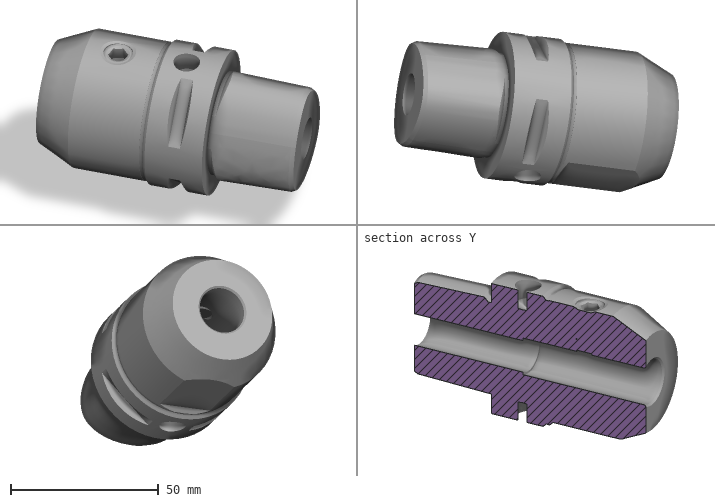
import math

import cadquery as cq

total_length = 90.0
flange_back = 60.0
flange_diameter = 50.0

nose_diameter = 36.0
nose_length = 12.8
body_diameter = 48.0
groove_diameter = 47.6
groove_start = 37.7
groove_end = 38.8
flange_start = 40.0

flat_height = -22.2
flat_end = 36.2

shank_bore_diameter = 16.0
shank_bore_depth = 47.7
mouth_diameter = 17.3
through_bore_diameter = 14.4

shank_diameter = 37.3
lobe_height = 1.1
lobe_count = 3
lobe_step = 10
taper_start = 63.0
taper_ratio = 1 / 20
tip_chamfer_length = 1.4
tip_chamfer_height = 0.8
neck_diameter = 35.7
neck_end = 61.3

screw_x = 23.9
screw_diameter = 10.0
screw_top = 22.9
screw_tip = 7.3
screw_mouth_width = 1.1
screw_mouth_depth = 0.45
socket_rim_diameter = 8.0
socket_rim_depth = 0.45
hex_across_flats = 6.0
hex_depth = 4.5
hex_sides = 6
hex_turn = 45.0
drill_tip_angle = 118.0

flange_hole_x = 48.0
flange_hole_diameter = 9.0
flange_hole_depth = 7.2

slot_x = 50.0
slot_floor_radius = 22.05
slot_floor_width = 4.1
slot_top_width = 6.7
slot_count = 4

flange_radius = flange_diameter / 2


def revolve_profile(points):
    """Turn a profile of (x, radius) points around the X axis."""
    return cq.Workplane("XY").polyline(points).close().revolve(360, (0, 0, 0), (1, 0, 0))


def drill_tip_depth(diameter):
    """Height of the cone left by a drill of the given diameter."""
    return diameter / 2 / math.tan(math.radians(drill_tip_angle / 2))


def cone_down(x, z_top, top_diameter, height, bottom_diameter=0.0):
    """Cone on a vertical axis, narrowing downward from z_top."""
    return cq.Workplane(
        cq.Solid.makeCone(
            top_diameter / 2, bottom_diameter / 2, height, cq.Vector(x, 0, z_top), cq.Vector(0, 0, -1)
        )
    )


def cylinder_down(x, z_top, diameter, height):
    """Cylinder on a vertical axis, reaching down from z_top."""
    return cq.Workplane("XY", origin=(x, 0, z_top)).circle(diameter / 2).extrude(-height)


def make_body():
    return revolve_profile([
        (0, 0),
        (0, nose_diameter / 2),
        (nose_length, body_diameter / 2),
        (groove_start, body_diameter / 2),
        (groove_start, groove_diameter / 2),
        (groove_end, groove_diameter / 2),
        (flange_start, flange_radius),
        (flange_back, flange_radius),
        (flange_back, 0),
    ])


def make_flat_cutter():
    depth = flange_radius + flat_height
    return (
        cq.Workplane("XZ")
        .polyline([
            (0, flat_height),
            (flat_end, flat_height),
            (flat_end + depth, flat_height - depth),
            (0, flat_height - depth),
        ])
        .close()
        .extrude(flange_radius, both=True)
    )


def lobed_wire(work, mean_radius):
    """Constant-width three-lobed outline with one lobe pointing up (+Z)."""

    def point(degrees):
        angle = math.radians(degrees)
        phase = lobe_count * (angle - math.pi / 2)
        support = mean_radius + lobe_height * math.cos(phase)
        slope = -lobe_count * lobe_height * math.sin(phase)
        y = support * math.cos(angle) - slope * math.sin(angle)
        z = support * math.sin(angle) + slope * math.cos(angle)
        return y, z

    def direction(degrees):
        angle = math.radians(degrees)
        return -math.sin(angle), math.cos(angle)

    lobe_span = 360 // lobe_count
    first_joint = 90 - lobe_span // 2
    work = work.moveTo(*point(first_joint))
    for joint in range(first_joint, first_joint + 360, lobe_span):
        joint_end = joint + lobe_span
        points = [point(degrees) for degrees in range(joint + lobe_step, joint_end + 1, lobe_step)]
        work = work.spline(points, tangents=[direction(joint), direction(joint_end)], includeCurrent=True)
    return work.close()


def lobed_section(x_start, x_end, start_radius, end_radius):
    start = lobed_wire(cq.Workplane("YZ", origin=(x_start, 0, 0)), start_radius)
    return lobed_wire(start.workplane(offset=x_end - x_start), end_radius).loft(ruled=True)


def make_shank():
    large_radius = shank_diameter / 2
    chamfer_start = total_length - tip_chamfer_length
    small_radius = large_radius - (chamfer_start - taper_start) * taper_ratio / 2
    straight = lobed_wire(cq.Workplane("YZ", origin=(flange_back, 0, 0)), large_radius)
    shank = straight.extrude(taper_start - flange_back)
    shank = shank.union(lobed_section(taper_start, chamfer_start, large_radius, small_radius))
    tip_radius = small_radius - tip_chamfer_height
    shank = shank.union(lobed_section(chamfer_start, total_length, small_radius, tip_radius))

    neck_radius = neck_diameter / 2
    neck_cutter = revolve_profile([
        (flange_back, neck_radius),
        (neck_end, neck_radius),
        (neck_end + flange_radius - neck_radius, flange_radius),
        (flange_back, flange_radius),
    ])
    return shank.cut(neck_cutter)


def make_bore():
    mouth_depth = (mouth_diameter - shank_bore_diameter) / 2
    return revolve_profile([
        (0, 0),
        (0, mouth_diameter / 2),
        (mouth_depth, shank_bore_diameter / 2),
        (shank_bore_depth, shank_bore_diameter / 2),
        (shank_bore_depth, through_bore_diameter / 2),
        (total_length, through_bore_diameter / 2),
        (total_length, 0),
    ])


def cut_screw_hole(part):
    """Plain hole from the outside into the bore, with its mouth chamfered."""
    hole = cylinder_down(screw_x, flange_radius, screw_diameter, flange_radius)
    drilled = part.cut(hole)
    mouth_selector = cq.selectors.BoxSelector(
        (screw_x - screw_diameter, -screw_diameter, shank_bore_diameter),
        (screw_x + screw_diameter, screw_diameter, flange_radius),
    )
    return drilled.edges(mouth_selector).edges("not %LINE").chamfer(screw_mouth_width, screw_mouth_depth)


def make_screw():
    screw = cylinder_down(screw_x, screw_top, screw_diameter, screw_top - screw_tip)
    rim = cone_down(screw_x, screw_top, socket_rim_diameter, socket_rim_depth, hex_across_flats)
    socket = (
        cq.Workplane("XY", origin=(screw_x, 0, screw_top))
        .transformed(rotate=(0, 0, hex_turn))
        .polygon(hex_sides, hex_across_flats, circumscribed=True)
        .extrude(-hex_depth)
    )
    tip = cone_down(screw_x, screw_top - hex_depth, hex_across_flats, drill_tip_depth(hex_across_flats))
    return screw.cut(rim).cut(socket).cut(tip)


def make_flange_hole():
    hole = cylinder_down(flange_hole_x, flange_radius, flange_hole_diameter, flange_hole_depth)
    tip = cone_down(
        flange_hole_x,
        flange_radius - flange_hole_depth,
        flange_hole_diameter,
        drill_tip_depth(flange_hole_diameter),
    )
    return hole.union(tip)


def make_slot():
    """Flat-bottomed slot with flared sides across the top of the flange."""
    half_floor = slot_floor_width / 2
    half_top = slot_top_width / 2
    return (
        cq.Workplane("XZ")
        .polyline([
            (slot_x - half_floor, slot_floor_radius),
            (slot_x + half_floor, slot_floor_radius),
            (slot_x + half_top, flange_radius),
            (slot_x - half_top, flange_radius),
        ])
        .close()
        .extrude(flange_radius, both=True)
    )


def turn_about_x(shape, angle):
    return shape.rotate((0, 0, 0), (1, 0, 0), angle)


result = make_body().cut(make_flat_cutter()).union(make_shank()).cut(make_bore())

result = cut_screw_hole(result).union(make_screw())

for hole_angle in (0, 180):
    result = result.cut(turn_about_x(make_flange_hole(), hole_angle))

for index in range(slot_count):
    slot_angle = (index + 0.5) * 360 / slot_count
    result = result.cut(turn_about_x(make_slot(), slot_angle))